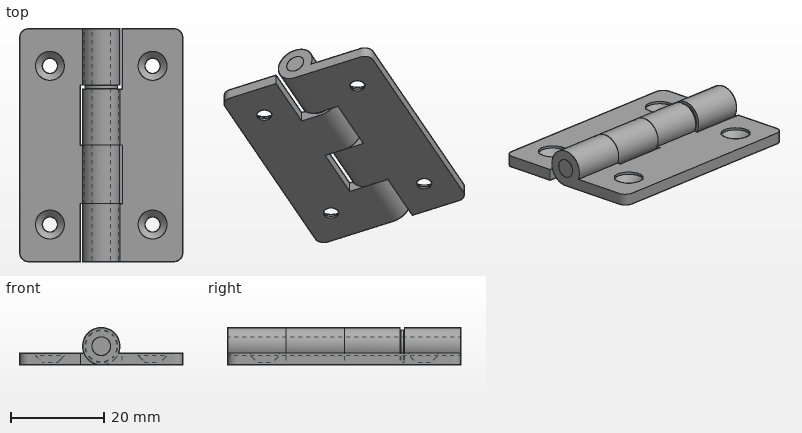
import cadquery as cq

LENGTH = 50.0
WIDTH = 35.0
LEAF_THICKNESS = 2.5
CORNER_RADIUS = 2.0

KNUCKLE_RADIUS = 4.0
PIN_RADIUS = 2.0
NOTCH_HALF_WIDTH = 4.5
KNUCKLE_PITCH = LENGTH / 4

WASHER_RADIUS = 3.5
WASHER_THICKNESS = 0.9
WASHER_CHAMFER = 0.15

HOLE_X = 11.0
HOLE_Y = 17.0
HOLE_RADIUS = 1.6
HEAD_RADIUS = 3.1
HEAD_RECESS_DEPTH = 0.5
CONE_DEPTH = HEAD_RADIUS - HOLE_RADIUS

FRONT_END = -LENGTH / 2
BACK_END = LENGTH / 2
FRONT_JOINT = FRONT_END + KNUCKLE_PITCH
MIDDLE_JOINT = FRONT_JOINT + KNUCKLE_PITCH
WASHER_FRONT = 12.0
WASHER_BACK = WASHER_FRONT + WASHER_THICKNESS

LEFT_KNUCKLES = [(FRONT_JOINT, MIDDLE_JOINT), (WASHER_BACK, BACK_END)]
RIGHT_KNUCKLES = [(FRONT_END, FRONT_JOINT), (MIDDLE_JOINT, WASHER_FRONT)]


def axis_cylinder(radius, start_y, end_y):
    """Cylinder about the pin axis between two Y positions."""
    axis_start = cq.Vector(0, start_y, KNUCKLE_RADIUS)
    solid = cq.Solid.makeCylinder(radius, end_y - start_y, axis_start, cq.Vector(0, 1, 0))
    return cq.Workplane(obj=solid)


def leaf_box(inner_x, outer_x, start_y, end_y):
    """Flat slab of leaf thickness standing on the base plane."""
    return cq.Workplane().box(
        outer_x - inner_x, end_y - start_y, LEAF_THICKNESS, centered=False
    ).translate((inner_x, start_y, 0))


def screw_hole(y):
    """Cutter for one through hole with a cone and a short straight head recess."""
    recess_floor = LEAF_THICKNESS - HEAD_RECESS_DEPTH
    cone_bottom = recess_floor - CONE_DEPTH
    profile = cq.Workplane("XZ").polyline([
        (0, 0),
        (HOLE_RADIUS, 0),
        (HOLE_RADIUS, cone_bottom),
        (HEAD_RADIUS, recess_floor),
        (HEAD_RADIUS, LEAF_THICKNESS),
        (0, LEAF_THICKNESS),
    ]).close()
    return profile.revolve(360, (0, 0, 0), (0, 1, 0)).translate((HOLE_X, y, 0))


def make_right_leaf(knuckles):
    """Leaf on the +X side carrying knuckles at the given Y ranges."""
    leaf = leaf_box(NOTCH_HALF_WIDTH, WIDTH / 2, FRONT_END, BACK_END)
    leaf = leaf.edges("|Z and >X").fillet(CORNER_RADIUS)
    for y in (-HOLE_Y, HOLE_Y):
        leaf = leaf.cut(screw_hole(y))
    for start_y, end_y in knuckles:
        web = leaf_box(0, NOTCH_HALF_WIDTH, start_y, end_y)
        leaf = leaf.union(web).union(axis_cylinder(KNUCKLE_RADIUS, start_y, end_y))
    return leaf.cut(axis_cylinder(PIN_RADIUS, FRONT_END, BACK_END))


def make_left_leaf(knuckles):
    """Mirror image of the right leaf, with its own knuckle ranges."""
    return make_right_leaf(knuckles).mirror("YZ")


def make_washer():
    """Ring around the pin between two knuckles, with both outer rims chamfered."""
    ring = axis_cylinder(WASHER_RADIUS, WASHER_FRONT, WASHER_BACK)
    ring = ring.edges("%CIRCLE").chamfer(WASHER_CHAMFER)
    return ring.cut(axis_cylinder(PIN_RADIUS, WASHER_FRONT, WASHER_BACK))


def make_pin():
    """Plain pin, flush with both ends of the barrel."""
    return axis_cylinder(PIN_RADIUS, FRONT_END, BACK_END)


left_leaf = make_left_leaf(LEFT_KNUCKLES)
right_leaf = make_right_leaf(RIGHT_KNUCKLES)
washer = make_washer()
pin = make_pin()

result = cq.Compound.makeCompound([left_leaf.val(), right_leaf.val(), washer.val(), pin.val()])